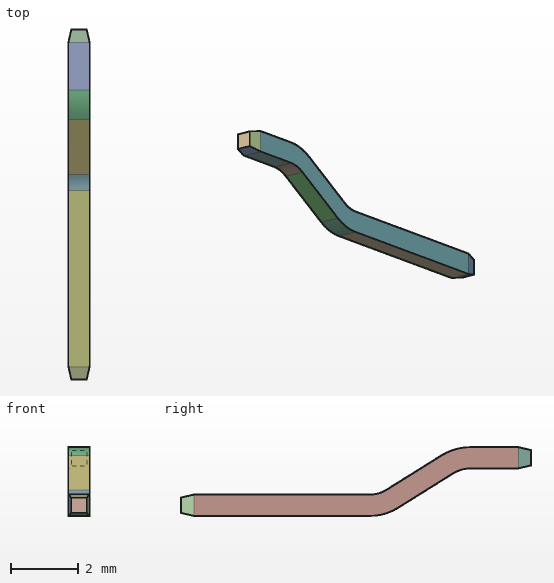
import cadquery as cq
import math

total_length = 10.4
total_height = 2.05
wire_side = 0.64

taper_length = 0.39
tip_side = 0.46

slope_angle = math.radians(32)
lower_inner_radius = 0.9
upper_inner_radius = 1.0
lower_leg_length = 5.62

rise = total_height - wire_side
front_y = -total_length / 2
back_y = total_length / 2
lower_radius = lower_inner_radius + wire_side / 2
upper_radius = upper_inner_radius + wire_side / 2


def bend_run(radius, angle):
    """Distance along Y covered by an arc turning through the angle."""
    return radius * math.sin(angle)


def bend_rise(radius, angle):
    """Height change of an arc turning through the angle from level."""
    return radius * (1 - math.cos(angle))


def lower_bend_point(angle):
    """Centreline point (Y, Z) after turning up by the angle."""
    start_y = front_y + lower_leg_length
    return (start_y + bend_run(lower_radius, angle), bend_rise(lower_radius, angle))


slope_rise = rise - bend_rise(lower_radius, slope_angle) - bend_rise(upper_radius, slope_angle)
slope_run = slope_rise / math.tan(slope_angle)
upper_leg_start_y = lower_bend_point(slope_angle)[0] + slope_run + bend_run(upper_radius, slope_angle)


def upper_bend_point(angle):
    """Centreline point (Y, Z) where the angle is still left to level off."""
    return (upper_leg_start_y - bend_run(upper_radius, angle), rise - bend_rise(upper_radius, angle))


def make_bent_wire():
    """Square wire swept along the centreline between the two tapers."""
    start_y = front_y + taper_length
    path = (
        cq.Workplane("YZ")
        .moveTo(start_y, 0)
        .lineTo(*lower_bend_point(0))
        .threePointArc(lower_bend_point(slope_angle / 2), lower_bend_point(slope_angle))
        .lineTo(*upper_bend_point(slope_angle))
        .threePointArc(upper_bend_point(slope_angle / 2), upper_bend_point(0))
        .lineTo(back_y - taper_length, rise)
    )
    section = cq.Workplane("XZ", origin=(0, start_y, 0)).rect(wire_side, wire_side)
    return section.sweep(path)


def make_taper(tip_y, direction, height):
    """Four-sided taper ending at tip_y; direction is +1 or -1 along Y."""
    base_plane = cq.Plane(
        origin=(0, tip_y - direction * taper_length, height),
        xDir=(1, 0, 0),
        normal=(0, direction, 0),
    )
    return (
        cq.Workplane(base_plane)
        .rect(wire_side, wire_side)
        .workplane(offset=taper_length)
        .rect(tip_side, tip_side)
        .loft(ruled=True, combine=True)
    )


front_taper = make_taper(front_y, -1, 0)
back_taper = make_taper(back_y, 1, rise)
result = make_bent_wire().union(front_taper).union(back_taper)